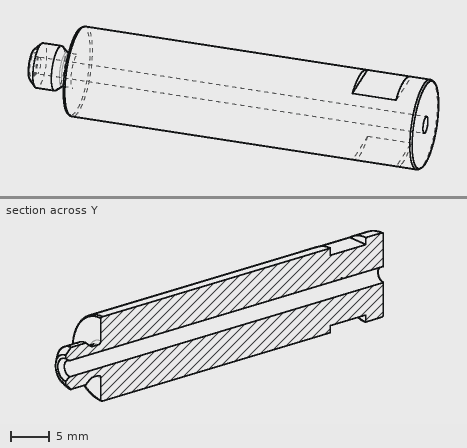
import cadquery as cq

total_length = 54.0
body_diameter = 12.0
nose_length = 6.0
edge_bevel_length = 0.25
edge_bevel_depth = 0.15

head_diameter = 6.0
head_chamfer = 0.9
head_shoulder = 3.45
rear_cone_length = 0.95
neck_diameter = 4.45
neck_fillet = 0.45

bore_diameter = 2.2
countersink_diameter = 3.2
countersink_depth = 0.7

flat_spacing = 10.0
flat_length = 6.0
flat_end_distance = 3.0

x_tip = -total_length / 2
x_body = x_tip + nose_length
x_end = total_length / 2


def make_body():
    body_radius = body_diameter / 2
    face_radius = body_radius - edge_bevel_depth
    profile = (
        cq.Workplane("XY")
        .moveTo(x_body, 0)
        .lineTo(x_body, face_radius)
        .lineTo(x_body + edge_bevel_length, body_radius)
        .lineTo(x_end - edge_bevel_length, body_radius)
        .lineTo(x_end, face_radius)
        .lineTo(x_end, 0)
        .close()
    )
    return profile.revolve(360, (0, 0, 0), (1, 0, 0))


def make_nose():
    head_radius = head_diameter / 2
    neck_radius = neck_diameter / 2
    x_shoulder = x_tip + head_shoulder
    profile = (
        cq.Workplane("XY")
        .moveTo(x_tip, 0)
        .lineTo(x_tip, head_radius - head_chamfer)
        .lineTo(x_tip + head_chamfer, head_radius)
        .lineTo(x_shoulder, head_radius)
        .lineTo(x_shoulder + rear_cone_length, neck_radius)
        .lineTo(x_body, neck_radius)
        .lineTo(x_body, 0)
        .close()
    )
    return profile.revolve(360, (0, 0, 0), (1, 0, 0))


def round_neck(pin):
    neck_ends = pin.edges(cq.selectors.RadiusNthSelector(1))
    return neck_ends.fillet(neck_fillet)


def make_bore():
    bore_radius = bore_diameter / 2
    mouth_radius = countersink_diameter / 2
    profile = (
        cq.Workplane("XY")
        .moveTo(x_tip, 0)
        .lineTo(x_tip, mouth_radius)
        .lineTo(x_tip + countersink_depth, bore_radius)
        .lineTo(x_end, bore_radius)
        .lineTo(x_end, 0)
        .close()
    )
    return profile.revolve(360, (0, 0, 0), (1, 0, 0))


def make_flat_cutter(side):
    """Block removing the body beyond one flat; side is +1 (top) or -1 (bottom)."""
    x_center = x_end - flat_end_distance - flat_length / 2
    z_center = side * (flat_spacing / 2 + body_diameter / 2)
    cutter = cq.Workplane("XY").box(flat_length, body_diameter, body_diameter)
    return cutter.translate((x_center, 0, z_center))


result = round_neck(make_body().union(make_nose()))
result = result.cut(make_bore())
for side in (1, -1):
    result = result.cut(make_flat_cutter(side))